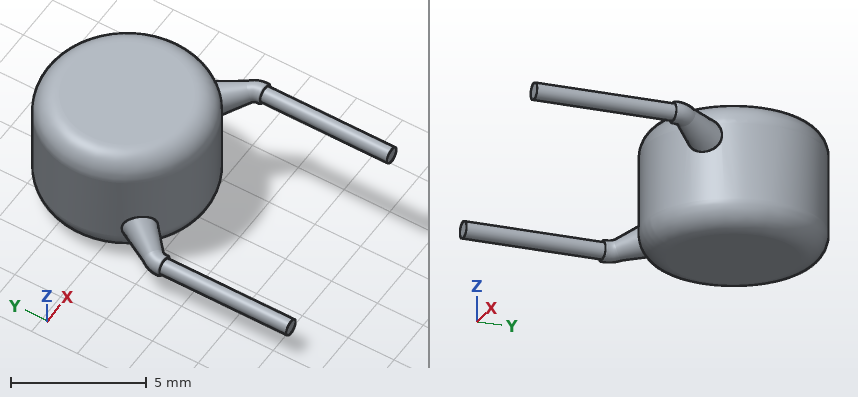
import cadquery as cq
import math

disc_diameter = 7.0
disc_height = 5.0
disc_edge_radius = 1.0

overall_length = 12.85

wire_pitch = 7.5
wire_tilt = 23.1
wire_diameter = 0.65
wire_end_y = disc_diameter / 2 - overall_length

sleeve_radius = 0.41
collar_edge_radius = 0.05
collar_end_y = -3.82
collar_length = 0.12
bend_angle = 38
bend_radius = 0.75
cone_length = 2.05
cone_half_angle = 11

wire_x = -wire_pitch / 2
bend_turn = math.radians(bend_angle)
bend_start = (wire_x, collar_end_y + collar_length)
bend_center = (wire_x + bend_radius, bend_start[1])


def bend_point(angle):
    """Point on the centreline arc after turning by the angle (radians)."""
    return (bend_center[0] - bend_radius * math.cos(angle), bend_center[1] + bend_radius * math.sin(angle))


bend_middle = bend_point(bend_turn / 2)
bend_end = bend_point(bend_turn)
cone_direction = (math.sin(bend_turn), math.cos(bend_turn))
inner_end = (
    bend_end[0] + cone_length * cone_direction[0],
    bend_end[1] + cone_length * cone_direction[1],
)


def place_lead(shape, turn):
    """Tilt a flat-plane shape about the Y axis, plus the turn that picks its side."""
    return shape.rotate((0, 0, 0), (0, 1, 0), turn - wire_tilt)


def make_disc():
    disc = cq.Workplane("XY").circle(disc_diameter / 2).extrude(disc_height)
    disc = disc.translate((0, 0, -disc_height / 2))
    return disc.faces("|Z").edges().fillet(disc_edge_radius)


def make_sleeve():
    """Coating on one wire, before boring: rounded collar, elbow, and cone running into the disc."""
    path = (
        cq.Workplane("XY")
        .moveTo(wire_x, collar_end_y)
        .lineTo(*bend_start)
        .threePointArc(bend_middle, bend_end)
    )
    elbow = cq.Workplane("XZ", origin=(wire_x, collar_end_y, 0)).circle(sleeve_radius).sweep(path)
    elbow = elbow.faces("<Y").edges().fillet(collar_edge_radius)
    cone_end_radius = sleeve_radius + cone_length * math.tan(math.radians(cone_half_angle))
    cone = cq.Solid.makeCone(
        sleeve_radius,
        cone_end_radius,
        cone_length,
        pnt=cq.Vector(*bend_end, 0),
        dir=cq.Vector(*cone_direction, 0),
    )
    return elbow.union(cq.Workplane(obj=cone))


def make_wire():
    """One wire: straight leg, then the sleeve's bend, ending inside the disc."""
    path = (
        cq.Workplane("XY")
        .moveTo(wire_x, wire_end_y)
        .lineTo(*bend_start)
        .threePointArc(bend_middle, bend_end)
        .lineTo(*inner_end)
    )
    return cq.Workplane("XZ", origin=(wire_x, wire_end_y, 0)).circle(wire_diameter / 2).sweep(path)


lead_turns = (0, 180)
wires = [place_lead(make_wire(), turn) for turn in lead_turns]

coating = make_disc()
for turn in lead_turns:
    coating = coating.union(place_lead(make_sleeve(), turn))
for wire in wires:
    coating = coating.cut(wire)

result = cq.Compound.makeCompound([coating.val(), *[wire.val() for wire in wires]])